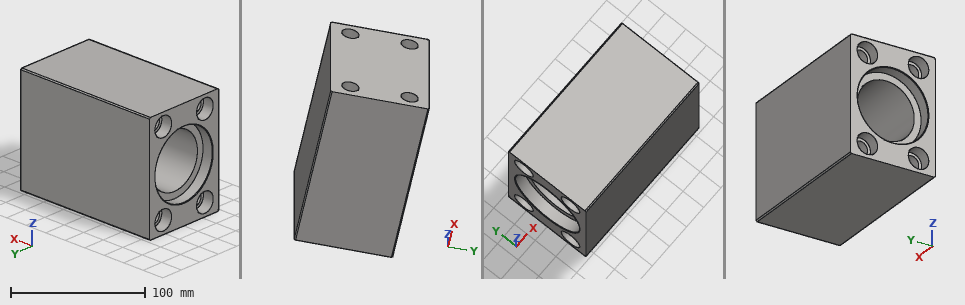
import cadquery as cq

LENGTH = 132.0
WIDTH = 75.0
HEIGHT = 100.0
EDGE_CHAMFER = 1.0

BORE_DIAMETER = 50.0
MOUTH_DIAMETER = 62.0
MOUTH_DEPTH = 10.0
MOUTH_CHAMFER = 0.5
BORE_END_WALL = 20.0
BORE_DEPTH = LENGTH - BORE_END_WALL

BOLT_DIAMETER = 13.0
BOLT_HEAD_DIAMETER = 18.0
BOLT_HEAD_DEPTH = 10.0
BOLT_SPACING_Y = 45.0
BOLT_SPACING_Z = 76.0


def make_block():
    """Block centred on the origin, chamfered along its four long edges."""
    block = cq.Workplane("XY").box(LENGTH, WIDTH, HEIGHT)
    return block.edges("|X").chamfer(EDGE_CHAMFER)


def make_bore():
    """Stepped bore cut as one revolved profile about the X axis."""
    face_x = -LENGTH / 2
    bore_radius = BORE_DIAMETER / 2
    mouth_radius = MOUTH_DIAMETER / 2
    profile = (
        cq.Workplane("XY")
        .moveTo(face_x, 0)
        .lineTo(face_x, mouth_radius + MOUTH_CHAMFER)
        .lineTo(face_x + MOUTH_CHAMFER, mouth_radius)
        .lineTo(face_x + MOUTH_DEPTH, mouth_radius)
        .lineTo(face_x + MOUTH_DEPTH, bore_radius)
        .lineTo(face_x + BORE_DEPTH, bore_radius)
        .lineTo(face_x + BORE_DEPTH, 0)
        .close()
    )
    return profile.revolve(360, (0, 0, 0), (1, 0, 0))


def cut_bolt_holes(body):
    """Counterbored through holes at the corners of a rectangle."""
    return (
        body.faces("<X")
        .workplane(origin=(0, 0, 0))
        .rect(BOLT_SPACING_Y, BOLT_SPACING_Z, forConstruction=True)
        .vertices()
        .cboreHole(BOLT_DIAMETER, BOLT_HEAD_DIAMETER, BOLT_HEAD_DEPTH)
    )


result = cut_bolt_holes(make_block().cut(make_bore()))